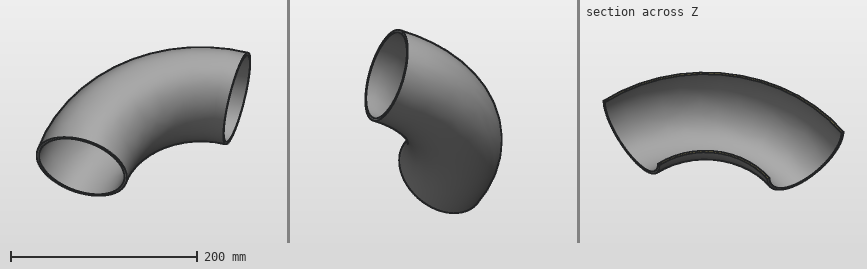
import cadquery as cq

overall_size = 184.3
outer_diameter = 101.5
wall_thickness = 3.0
bend_angle = 90.0

outer_radius = outer_diameter / 2
inner_radius = outer_radius - wall_thickness
bend_radius = overall_size - outer_radius

pipe_section = cq.Workplane("XZ").circle(outer_radius).circle(inner_radius)
result = pipe_section.revolve(
    bend_angle,
    axisStart=(bend_radius, 1.8, 0),
    axisEnd=(bend_radius, 0, 0),
)